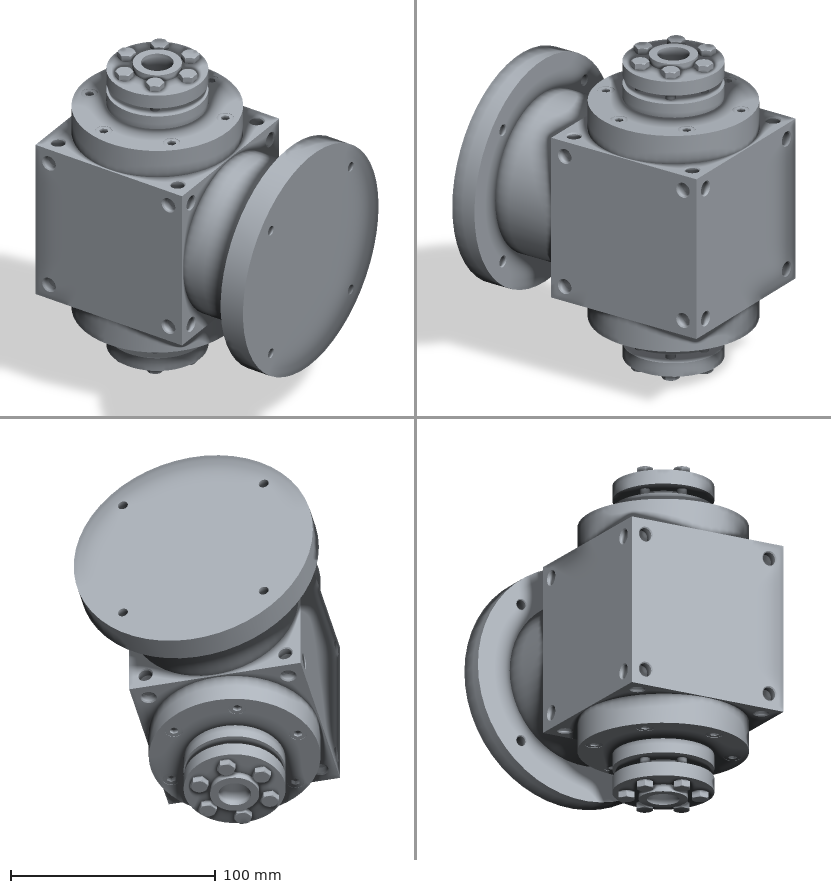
import cadquery as cq
import math

TOTAL_HEIGHT = 166.0
CUBE = 86.0
INPUT_REACH = 90.0

NECK_DIA = 84.0
FLANGE_DIA = 120.0
FLANGE_THICKNESS = 13.1
FLANGE_HOLE_DIA = 5.0
FLANGE_HOLE_MOUTH_DIA = 6.0
FLANGE_HOLE_CIRCLE_DIA = 100.0

CORNER_HOLE_DIA = 6.8
CORNER_HOLE_MOUTH_DIA = 8.0
CORNER_HOLE_PITCH = 70.0
CORNER_HOLE_DEPTH = 4.5
DRILL_POINT_ANGLE = 118.0

COVER_DIA = NECK_DIA
COVER_TOP = 58.1
COVER_SCREW_CIRCLE_DIA = 70.0
COVER_SCREW_HEAD_DIA = 8.5
COVER_SCREW_RECESS = 0.2
COVER_SCREW_SOCKET = 4.0
COVER_SCREW_SOCKET_DEPTH = 2.5
COVER_SCREW_COUNT = 6
COVER_SCREW_START_ANGLE = 15.0

SHAFT_BORE_DIA = 16.0
SHAFT_END_DIA = 24.0
SHAFT_NECK_DIA = 25.0

DISC_DIA = 50.0
DISC_HUB_DIA = 29.0
PLATE_THICKNESS = 7.3
PLATE_GAP = 4.6
BOLT_COUNT = 6
BOLT_CIRCLE_DIA = 36.0
BOLT_SHANK_DIA = 5.0
BOLT_HEAD_FLATS = 8.0
BOLT_HEAD_HEIGHT = 3.7
BOLT_HEAD_TOP_DIA = 7.8
BOLT_HEAD_CHAMFER_ANGLE = 30.0
WASHER_FACE_DIA = 7.5
WASHER_FACE_HEIGHT = 0.5

HALF_CUBE = CUBE / 2
HALF_HEIGHT = TOTAL_HEIGHT / 2
DISC_TOP = HALF_HEIGHT - BOLT_HEAD_HEIGHT
DISC_BOTTOM = DISC_TOP - 2 * PLATE_THICKNESS - PLATE_GAP
FULL_TURN = 360.0
SQUARE_CORNER_ANGLE = 45.0
HALF_HEX_STEP = 30.0


def cylinder_z(diameter, bottom, top):
    return cq.Workplane("XY").workplane(offset=bottom).circle(diameter / 2).extrude(top - bottom)


def cylinder_x(diameter, start, end):
    return cq.Workplane("YZ").workplane(offset=start).circle(diameter / 2).extrude(end - start)


def across_corners(across_flats):
    return across_flats / math.cos(math.radians(HALF_HEX_STEP))


def hexagon_z(across_flats, bottom, top):
    """Upright hexagonal prism with two flats facing +X and -X."""
    prism = cq.Workplane("XY").polygon(6, across_corners(across_flats)).extrude(top - bottom)
    return prism.rotate((0, 0, 0), (0, 0, 1), HALF_HEX_STEP).translate((0, 0, bottom))


def ring_of(shape, count, circle_dia, start_angle=0.0):
    """Copies of a shape standing on the Z axis, spread around a circle."""
    copies = cq.Workplane("XY")
    for index in range(count):
        angle = start_angle + index * FULL_TURN / count
        copies = copies.add(shape.translate((circle_dia / 2, 0, 0)).rotate((0, 0, 0), (0, 0, 1), angle))
    return copies


def combined(base, copies):
    for copy in copies.vals():
        base = base.union(cq.Workplane(copy))
    return base


def without(base, copies):
    for copy in copies.vals():
        base = base.cut(cq.Workplane(copy))
    return base


def corner_hole():
    """Blind drilled hole with a chamfered mouth, drilled down into the top face of the cube."""
    radius = CORNER_HOLE_DIA / 2
    mouth_radius = CORNER_HOLE_MOUTH_DIA / 2
    chamfer = mouth_radius - radius
    point_depth = CORNER_HOLE_DEPTH + radius / math.tan(math.radians(DRILL_POINT_ANGLE / 2))
    profile = (
        cq.Workplane("XZ")
        .moveTo(0, HALF_CUBE)
        .lineTo(mouth_radius, HALF_CUBE)
        .lineTo(radius, HALF_CUBE - chamfer)
        .lineTo(radius, HALF_CUBE - CORNER_HOLE_DEPTH)
        .lineTo(0, HALF_CUBE - point_depth)
        .close()
    )
    return profile.revolve(FULL_TURN, (0, 0, 0), (0, 1, 0))


def flange_hole_mouth(start):
    """Countersink cone that narrows from the inner flange face to the bolt hole."""
    depth = (FLANGE_HOLE_MOUTH_DIA - FLANGE_HOLE_DIA) / 2
    cone = cq.Solid.makeCone(
        FLANGE_HOLE_MOUTH_DIA / 2, FLANGE_HOLE_DIA / 2, depth, cq.Vector(start, 0, 0), cq.Vector(1, 0, 0)
    )
    return cq.Workplane(cone)


def make_housing():
    housing = cq.Workplane("XY").box(CUBE, CUBE, CUBE)

    holes = ring_of(corner_hole(), 4, CORNER_HOLE_PITCH * math.sqrt(2), SQUARE_CORNER_ANGLE)
    for angle in (0, 90, 180, 270):
        housing = without(housing, holes.rotate((0, 0, 0), (0, 1, 0), angle))
    for angle in (90, 270):
        housing = without(housing, holes.rotate((0, 0, 0), (1, 0, 0), angle))

    recess = cylinder_z(COVER_SCREW_HEAD_DIA, COVER_TOP - COVER_SCREW_RECESS, COVER_TOP)
    socket = hexagon_z(COVER_SCREW_SOCKET, COVER_TOP - COVER_SCREW_SOCKET_DEPTH, COVER_TOP)
    socket = socket.rotate((0, 0, 0), (0, 0, 1), HALF_HEX_STEP)
    screw_cut = recess.union(socket)
    cover = without(
        cylinder_z(COVER_DIA, HALF_CUBE, COVER_TOP),
        ring_of(screw_cut, COVER_SCREW_COUNT, COVER_SCREW_CIRCLE_DIA, COVER_SCREW_START_ANGLE),
    )
    housing = housing.union(cover).union(cover.mirror("XY"))

    flange_start = INPUT_REACH - FLANGE_THICKNESS
    neck = cylinder_x(NECK_DIA, HALF_CUBE, flange_start)
    flange = cylinder_x(FLANGE_DIA, flange_start, INPUT_REACH)
    half_pitch = FLANGE_HOLE_CIRCLE_DIA / 2 * math.sin(math.radians(SQUARE_CORNER_ANGLE))
    hole = cylinder_x(FLANGE_HOLE_DIA, flange_start, INPUT_REACH)
    hole = hole.union(flange_hole_mouth(flange_start))
    for y in (-half_pitch, half_pitch):
        for z in (-half_pitch, half_pitch):
            flange = flange.cut(hole.translate((0, y, z)))
    housing = housing.union(neck).union(flange)

    return housing.cut(cylinder_z(SHAFT_NECK_DIA, -COVER_TOP, COVER_TOP))


def make_hollow_shaft():
    shaft = cylinder_z(SHAFT_END_DIA, -HALF_HEIGHT, HALF_HEIGHT)
    shaft = shaft.union(cylinder_z(SHAFT_NECK_DIA, -DISC_BOTTOM, DISC_BOTTOM))
    return shaft.cut(cylinder_z(SHAFT_BORE_DIA, -HALF_HEIGHT, HALF_HEIGHT))


def clamp_bolt():
    """Bolt on the Z axis: shank, washer face and hexagon head with chamfered corners."""
    head_bottom = DISC_TOP + WASHER_FACE_HEIGHT
    corner_dia = across_corners(BOLT_HEAD_FLATS)
    chamfer_width = (corner_dia - BOLT_HEAD_TOP_DIA) / 2
    chamfer_height = chamfer_width * math.tan(math.radians(BOLT_HEAD_CHAMFER_ANGLE))
    envelope = cylinder_z(corner_dia, head_bottom, HALF_HEIGHT)
    envelope = envelope.faces(">Z").chamfer(chamfer_height, chamfer_width)

    head = hexagon_z(BOLT_HEAD_FLATS, head_bottom, HALF_HEIGHT).intersect(envelope)
    washer_face = cylinder_z(WASHER_FACE_DIA, DISC_TOP, head_bottom)
    shank = cylinder_z(BOLT_SHANK_DIA, DISC_BOTTOM, DISC_TOP)
    return shank.union(washer_face).union(head)


def make_shrink_disc():
    """Shrink disc on the upper end of the shaft."""
    lower_plate = cylinder_z(DISC_DIA, DISC_BOTTOM, DISC_BOTTOM + PLATE_THICKNESS)
    upper_plate = cylinder_z(DISC_DIA, DISC_TOP - PLATE_THICKNESS, DISC_TOP)
    hub = cylinder_z(DISC_HUB_DIA, DISC_BOTTOM, DISC_TOP)
    disc = lower_plate.union(upper_plate).union(hub)

    disc = combined(disc, ring_of(clamp_bolt(), BOLT_COUNT, BOLT_CIRCLE_DIA))
    return disc.cut(cylinder_z(SHAFT_END_DIA, DISC_BOTTOM, DISC_TOP))


housing = make_housing()
hollow_shaft = make_hollow_shaft()
upper_disc = make_shrink_disc()
lower_disc = upper_disc.mirror("XY")

result = cq.Compound.makeCompound(
    [housing.val(), hollow_shaft.val(), upper_disc.val(), lower_disc.val()]
)